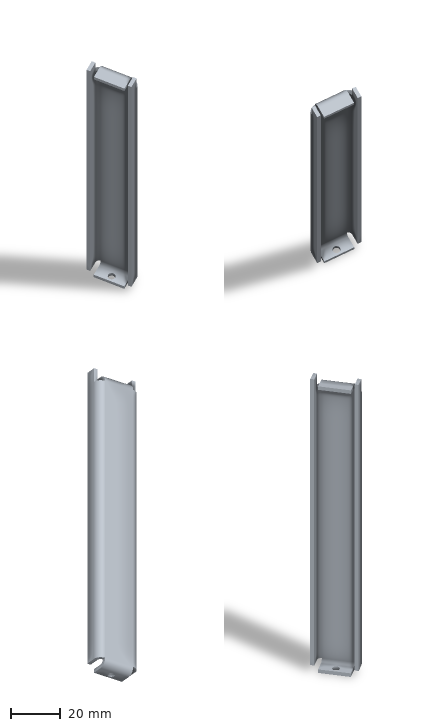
import cadquery as cq

width = 20.0
depth = 8.0
length = 135.9

thickness = 1.6
web_width = 13.6
bend_outer_radius = (width - web_width) / 2
bend_inner_radius = bend_outer_radius - thickness

flange_overrun = 6.3
back = depth / 2
front = -depth / 2
bottom = -length / 2
top = length / 2
web_bottom = bottom + bend_outer_radius
web_top = top - flange_overrun
bend_front = back - bend_outer_radius

top_tab_setback = 0.1
hole_diameter = 3.1
hole_y = (front + bend_front) / 2


def box_between(low, high):
    """Axis-aligned box from its lowest corner to its highest corner."""
    size = [b - a for a, b in zip(low, high)]
    return cq.Workplane("XY").box(*size, centered=False).translate(low)


def folded_wall(plane, bend_length, wall_front):
    """Quarter bend and straight wall; local x points outward from the web, local y is Y.

    The local origin lies on the line where the flat web ends, at Y = 0.
    """
    inner = bend_inner_radius
    outer = bend_outer_radius
    diagonal = 0.5**0.5
    return (
        cq.Workplane(plane)
        .moveTo(0, back)
        .threePointArc((outer * diagonal, bend_front + outer * diagonal), (outer, bend_front))
        .lineTo(outer, wall_front)
        .lineTo(inner, wall_front)
        .lineTo(inner, bend_front)
        .threePointArc((inner * diagonal, bend_front + inner * diagonal), (0, back - thickness))
        .close()
        .extrude(bend_length)
    )


web = box_between(
    (-web_width / 2, back - thickness, web_bottom),
    (web_width / 2, back, web_top),
)

side_plane = cq.Plane(origin=(web_width / 2, 0, web_bottom), xDir=(1, 0, 0), normal=(0, 0, 1))
side_bend = folded_wall(side_plane, web_top - web_bottom, front)
side_extension = box_between(
    (width / 2 - thickness, front, web_top),
    (width / 2, bend_front, top),
)
side_flange = side_bend.union(side_extension)

bottom_plane = cq.Plane(origin=(-web_width / 2, 0, web_bottom), xDir=(0, 0, -1), normal=(1, 0, 0))
bottom_tab = folded_wall(bottom_plane, web_width, front)
top_plane = cq.Plane(origin=(web_width / 2, 0, web_top), xDir=(0, 0, 1), normal=(-1, 0, 0))
top_tab = folded_wall(top_plane, web_width, front + top_tab_setback)

tab_hole = (
    cq.Workplane("XY", origin=(0, hole_y, bottom))
    .circle(hole_diameter / 2)
    .extrude(thickness)
)

result = (
    web.union(side_flange)
    .union(side_flange.mirror("YZ"))
    .union(bottom_tab.cut(tab_hole))
    .union(top_tab)
)